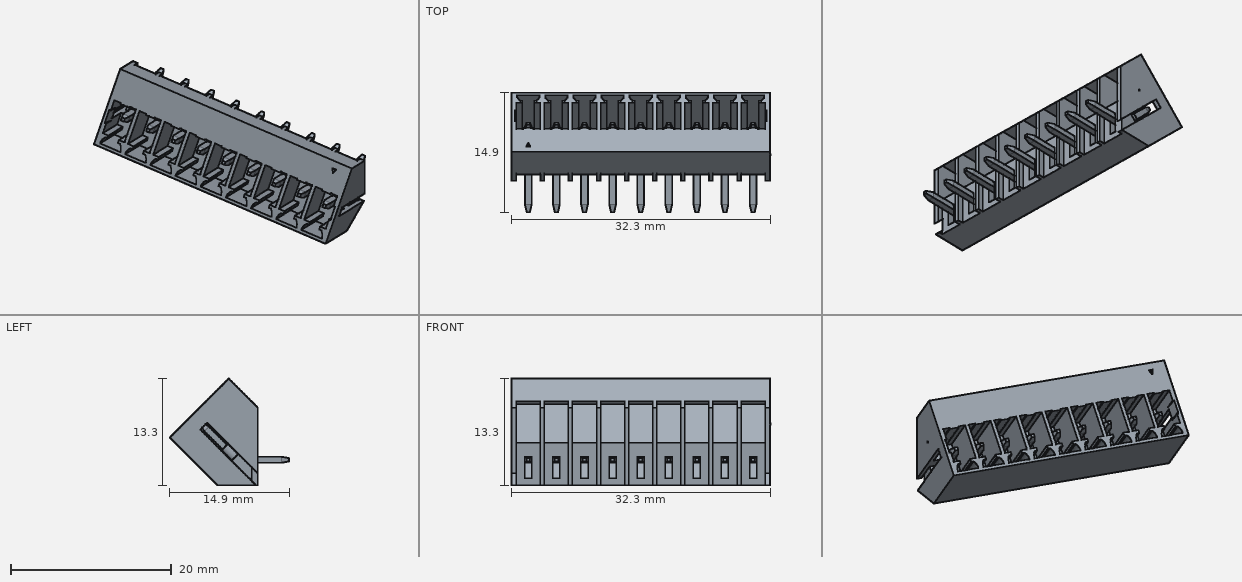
import cadquery as cq
import math

ROOT2 = math.sqrt(2)

pole_count = 9
pitch = 3.5
end_wall = 0.62
rib_width = 0.5
bay_width = pitch - rib_width
housing_length = pole_count * pitch - rib_width + 2 * end_wall
housing_height = 13.33
apex_y = 3.63
rear_y = 10.99
shoulder_z = housing_height - apex_y
rear_z = housing_height - (rear_y - apex_y)
underside_y = rear_y - rear_z

bay_back_y = 0.77
bay_roof_z = 10.5
bay_slope_foot_z = 5.33
bay_top_chamfer = 0.4

pin_width = 0.88
pin_thickness = 0.8
pin_tip_size = 0.42
pin_tip_length = 1.0
solder_leg_z = 3.2
solder_leg_reach = 3.91
pin_top_depth = 1.46

pin_offset = -0.47
apex_offset = (apex_y - housing_height) / ROOT2

cavity_depth = 5.7
cavity_bottom = 4.05
cavity_top = 8.6
neck_width = 1.45
flare_bottom = 9.0
flare_top = 9.97
flare_radius = 1.41
lower_rib_width = 1.2
lower_rib_height = 0.14

keyway_width = 1.8
keyway_reach = 0.2
groove_offset = -0.46
groove_width = 1.2
groove_top_depth = 2.0
groove_end_depth = 14.0
collar_radius = 0.7
collar_end_depth = 7.5

mark_width = 0.5
mark_height = 0.6
mark_bottom = -5.9
mark_face_depth = 0.1
mark_sink = 0.05
pip_height = 0.06
pip_radius = 0.08
pip_y = 3.25
pip_z = 7.64


def tilted_point(depth, offset):
    """(Y, Z) of a point at a depth below the mating face and an offset from the tilted axis."""
    total = apex_y + housing_height - depth * ROOT2
    difference = offset * ROOT2
    return ((total + difference) / 2, (total - difference) / 2)


def side_prism(points, x_start, width):
    """Extrude a (Y, Z) outline along +X."""
    return cq.Workplane("YZ", origin=(x_start, 0, 0)).polyline(points).close().extrude(width)


def tilted_plane(x, depth, offset):
    """Plane square to the plug axis, with its local Y running down the mating face."""
    y, z = tilted_point(depth, offset)
    return cq.Workplane(cq.Plane(origin=(x, y, z), xDir=(1, 0, 0), normal=(0, 1, 1)))


def tilted_bar(x_start, x_width, top_depth, end_depth, offset, width):
    """Rectangular bar running along the plug axis."""
    low, high = offset - width / 2, offset + width / 2
    corners = [(top_depth, low), (end_depth, low), (end_depth, high), (top_depth, high)]
    return side_prism([tilted_point(*corner) for corner in corners], x_start, x_width)


def make_housing():
    outline = [
        (0, 0),
        (underside_y, 0),
        (rear_y, rear_z),
        (apex_y, housing_height),
        (0, shoulder_z),
    ]
    return side_prism(outline, 0, housing_length)


def make_bay(center_x):
    """Open-fronted recess with a flat back, a 45 degree slope and a chamfered roof."""
    slope_top_z = bay_roof_z - bay_top_chamfer
    slope_top_y = bay_back_y + slope_top_z - bay_slope_foot_z
    outline = [
        (0, 0),
        (bay_back_y, 0),
        (bay_back_y, bay_slope_foot_z),
        (slope_top_y, slope_top_z),
        (slope_top_y - bay_top_chamfer, bay_roof_z),
        (0, bay_roof_z),
    ]
    return side_prism(outline, center_x - bay_width / 2, bay_width)


def make_cavity(center_x):
    """Plug cavity: a rectangle joined through a neck to a flare cut from a half disc."""
    face = tilted_plane(center_x, 0, apex_offset)

    def block(width, bottom, top):
        return face.center(0, (bottom + top) / 2).rect(width, top - bottom).extrude(-cavity_depth)

    disc = face.center(0, flare_top).circle(flare_radius).extrude(-cavity_depth)
    flare = disc.intersect(block(2 * flare_radius, flare_bottom, flare_top))
    lower_rib = block(lower_rib_width, cavity_bottom, cavity_bottom + lower_rib_height)
    main = block(bay_width, cavity_bottom, cavity_top).cut(lower_rib)
    neck = block(neck_width, cavity_top, flare_bottom)
    return main.union(neck).union(flare)


def bend_edge(leg_z, offset):
    """(Y, Z) where a solder leg edge meets the matching edge of the tilted leg."""
    return (leg_z + offset * ROOT2, leg_z)


def make_slot(center_x):
    """Loading slot below the bend of a contact."""
    lower_offset = pin_offset + pin_thickness / 2
    lower_z = solder_leg_z - pin_thickness / 2
    outline = [
        (bay_back_y, bay_back_y - lower_offset * ROOT2),
        bend_edge(lower_z, lower_offset),
        (bay_back_y, lower_z),
    ]
    return side_prism(outline, center_x - pin_width / 2, pin_width)


def make_tip(base):
    """Tapered pin tip standing on a base workplane."""
    return (
        base.rect(pin_width, pin_thickness)
        .workplane(offset=pin_tip_length)
        .rect(pin_tip_size, pin_tip_size)
        .loft()
    )


def make_pin(center_x):
    """Bent square contact with a horizontal solder leg, a tilted mating leg and two tips."""
    half = pin_thickness / 2
    taper_depth = pin_top_depth + pin_tip_length
    taper_y = pin_tip_length - solder_leg_reach
    outline = [
        (taper_y, solder_leg_z - half),
        bend_edge(solder_leg_z - half, pin_offset + half),
        tilted_point(taper_depth, pin_offset + half),
        tilted_point(taper_depth, pin_offset - half),
        bend_edge(solder_leg_z + half, pin_offset - half),
        (taper_y, solder_leg_z + half),
    ]
    legs = side_prism(outline, center_x - pin_width / 2, pin_width)
    solder_tip = make_tip(cq.Workplane("XZ", origin=(center_x, taper_y, solder_leg_z)))
    mating_tip = make_tip(tilted_plane(center_x, taper_depth, pin_offset))
    return legs.union(solder_tip).union(mating_tip)


def make_collar(center_x):
    """Round collar holding a contact below the cavity floor."""
    base = tilted_plane(center_x, collar_end_depth, pin_offset)
    return base.circle(collar_radius).extrude(collar_end_depth - cavity_depth)


def make_left_keyway():
    """Wedge cut into the end wall, deepest at the mating face and fading out at the side groove."""
    corners = [
        (end_wall - keyway_reach, 0),
        (end_wall, 0),
        (end_wall, -groove_top_depth),
    ]
    y, z = tilted_point(0, pin_offset)
    plane = cq.Plane(origin=(0, y, z), xDir=(1, 0, 0), normal=(0, -1, 1))
    return cq.Workplane(plane).polyline(corners).close().extrude(keyway_width / 2, both=True)


def make_left_end_cuts():
    """Side groove, the deeper window down to the first contact, and the keyway in the end wall."""
    window_reach = end_wall + (bay_width - pin_width) / 2
    groove = tilted_bar(0, end_wall, groove_top_depth, groove_end_depth, groove_offset, groove_width)
    window = tilted_bar(0, window_reach, groove_top_depth, collar_end_depth, groove_offset, groove_width)
    return groove.union(window).union(make_left_keyway())


def make_pole_mark(center_x):
    """Shallow triangle in the mating face marking the first pole."""
    face = tilted_plane(center_x, 0, 0)
    corners = [
        (-mark_width / 2, mark_bottom),
        (mark_width / 2, mark_bottom),
        (0, mark_bottom + mark_height),
    ]
    return face.polyline(corners).close().extrude(-mark_face_depth)


def make_pip():
    """Tiny round pip on the right end face."""
    plane = cq.Workplane("YZ", origin=(housing_length - mark_sink, pip_y, pip_z))
    return plane.circle(pip_radius).extrude(mark_sink + pip_height)


pole_centers = [end_wall + bay_width / 2 + index * pitch for index in range(pole_count)]
middle = (housing_length / 2, 0, 0)

housing = make_housing()
for pole_x in pole_centers:
    housing = housing.cut(make_bay(pole_x)).cut(make_cavity(pole_x)).cut(make_slot(pole_x))

left_end_cuts = make_left_end_cuts()
housing = housing.cut(make_pole_mark(pole_centers[0]))
housing = housing.cut(left_end_cuts).cut(left_end_cuts.mirror("YZ", middle))

for pole_x in pole_centers:
    housing = housing.union(make_collar(pole_x)).union(make_pin(pole_x))

result = housing.union(make_pip())